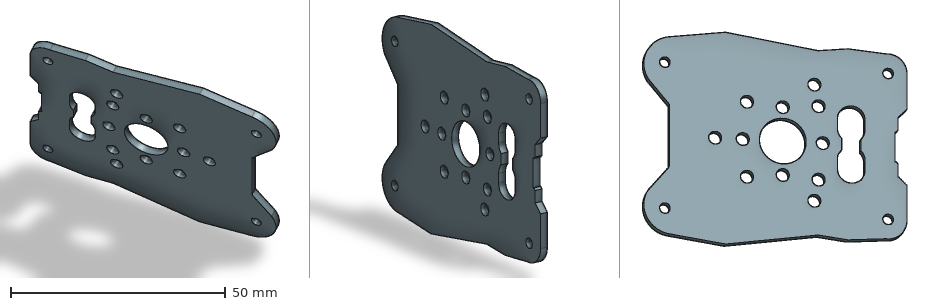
import cadquery as cq

length = 62.45
height = 51.5
thickness = 2.0
left = -length / 2
right = length / 2

corner_radius = 4.6
corner_top = 22.5
corner_end = (-26.15, 22.5)
notch_mouth_z = 9.3
notch_step_x = -29.1
notch_step_z = 7.2
notch_floor_x = -28.35
notch_floor_z = 3.6
floor_chamfer = 0.5

shallow_crest = (-17.2, 23.25)
waist = (-10.1, 22.4)
main_crest = (11.85, height / 2)

lobe_start = (25.1, 24.0)
lobe_tip = (right, 17.1)
lobe_end = (30.1, 13.35)
recess_corner = (25.1, 7.45)

bore_diameter = 11.05
bore_x = -1.75
screw_diameter = 3.05
bore_screws_beside = (-11.25, 7.75, 14.3)
screw_pairs = ((bore_x, 8.25), (-10.25, 8.9), (-9.25, 14.1), (6.75, 9.1))
corner_hole_diameter = 2.5
corner_holes = ((-26.7, 17.75), (26.2, 17.75))

slot_x = -18.0
slot_width = 6.55
slot_height = 18.75
slot_lobe_length = 8.85
neck_width = 4.5


def mirrored(point):
    return (point[0], -point[1])


def make_half_plate():
    """Half of the plate above Z = 0."""
    corner_center = (left + corner_radius, corner_top - corner_radius)
    diagonal = corner_radius * 0.5 ** 0.5
    corner_middle = (corner_center[0] - diagonal, corner_center[1] + diagonal)
    return (
        cq.Workplane("XZ", origin=(0, thickness / 2, 0))
        .moveTo(notch_floor_x, 0)
        .lineTo(notch_floor_x, notch_floor_z)
        .lineTo(notch_step_x + floor_chamfer, notch_floor_z)
        .lineTo(notch_step_x, notch_floor_z + floor_chamfer)
        .lineTo(notch_step_x, notch_step_z)
        .lineTo(left, notch_mouth_z)
        .lineTo(left, corner_center[1])
        .threePointArc(corner_middle, corner_end)
        .lineTo(*shallow_crest)
        .lineTo(*waist)
        .lineTo(*main_crest)
        .lineTo(*lobe_start)
        .threePointArc(lobe_tip, lobe_end)
        .lineTo(*recess_corner)
        .lineTo(recess_corner[0], 0)
        .close()
        .extrude(thickness)
    )


def make_holes(points, diameter):
    """Through cutters, centred on the plate thickness."""
    return cq.Workplane("XZ").pushPoints(points).circle(diameter / 2).extrude(thickness, both=True)


def make_slot():
    lobe_z = (slot_height - slot_lobe_length) / 2
    lobes = (
        cq.Workplane("XZ")
        .pushPoints([(slot_x, lobe_z), (slot_x, -lobe_z)])
        .slot2D(slot_lobe_length, slot_width, 90)
        .extrude(thickness, both=True)
    )
    neck = (
        cq.Workplane("XZ")
        .center(slot_x, 0)
        .rect(neck_width, 2 * lobe_z)
        .extrude(thickness, both=True)
    )
    return lobes.union(neck)


half_plate = make_half_plate()
plate = half_plate.union(half_plate.mirror("XY")).clean()

screw_points = [(x, 0) for x in bore_screws_beside]
for pair in screw_pairs:
    screw_points += [pair, mirrored(pair)]

corner_points = []
for hole in corner_holes:
    corner_points += [hole, mirrored(hole)]

result = (
    plate.cut(make_slot())
    .cut(make_holes([(bore_x, 0)], bore_diameter))
    .cut(make_holes(screw_points, screw_diameter))
    .cut(make_holes(corner_points, corner_hole_diameter))
)